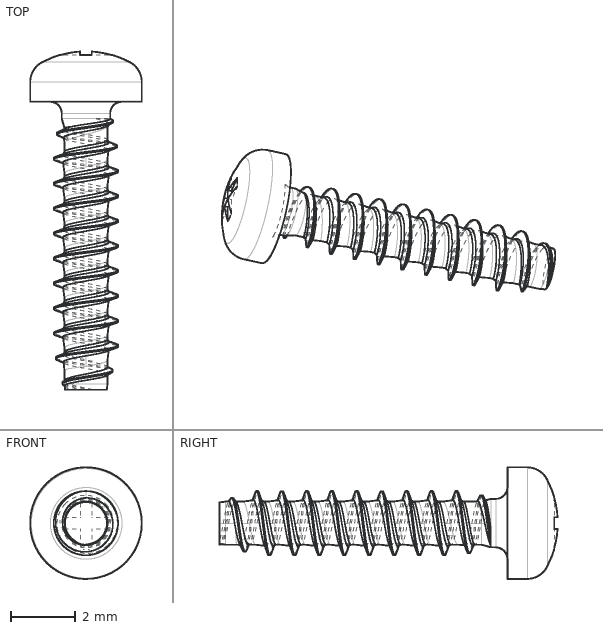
import cadquery as cq
import math

length = 10.57

head_diameter = 3.5
head_radius = head_diameter / 2
head_height = 1.57
rim_height = 0.62
crown_radius = 1.36
crown_height = 0.33
shoulder_radius = 0.68
shoulder_mid_angle = 32.0
underside_round = 0.03

slot_width = 0.36
slot_depth = 0.11

neck_radius = 0.76
neck_fillet = 0.36
neck_length = 0.16
neck_taper = 0.3
core_radius = 0.68
tip_radius = 0.66
tip_taper = 0.19

full_turns = 8
full_thread_length = 6.24
pitch = full_thread_length / full_turns
crest_radius = 1.0
foot_radius = 0.67
flank_base_radius = 0.72
foot_above = 0.23
foot_below = 0.52
half_flank_base = 0.12
half_crest = 0.02
buried_radius = 0.61
first_crest = 0.59
tip_end_crest = 0.65
neck_end_crest = 0.78
points_per_turn = 24

ridge_section = [
    (foot_above, buried_radius),
    (foot_above, foot_radius),
    (half_flank_base, flank_base_radius),
    (half_crest, crest_radius),
    (-half_crest, crest_radius),
    (-half_flank_base, flank_base_radius),
    (-foot_below, foot_radius),
    (-foot_below, buried_radius),
]

ridge_start = -0.9
full_start = 0.75
full_end = full_start + full_turns
ridge_end = 10.5
ridge_stations = [
    (ridge_start, tip_end_crest),
    (full_start, crest_radius),
    (full_end, crest_radius),
    (ridge_end, neck_end_crest),
]

head_base = length - head_height
rim_top = head_base + rim_height
neck_top = head_base - neck_fillet
neck_base = neck_top - neck_length

corner_radius = slot_width / 2 * math.sqrt(2)
crown_center = length - (crown_radius**2 - corner_radius**2 + crown_height**2) / (2 * crown_height)
crown_sphere = math.hypot(corner_radius, length - crown_center)


def make_blank():
    """Head, neck and core as one turned body."""
    crown_edge = length - crown_height
    shoulder_center = head_radius - shoulder_radius
    shoulder_mid = (
        shoulder_center + shoulder_radius * math.cos(math.radians(shoulder_mid_angle)),
        rim_top + shoulder_radius * math.sin(math.radians(shoulder_mid_angle)),
    )
    half_crown = crown_radius / 2
    crown_mid = (half_crown, crown_center + math.sqrt(crown_sphere**2 - half_crown**2))
    fillet_reach = neck_fillet * (1 - math.sqrt(0.5))
    fillet_mid = (neck_radius + fillet_reach, head_base - fillet_reach)
    round_reach = underside_round * (1 - math.sqrt(0.5))

    outline = (
        cq.Workplane("XZ")
        .lineTo(tip_radius, 0)
        .lineTo(core_radius, tip_taper)
        .lineTo(core_radius, neck_base - neck_taper)
        .lineTo(neck_radius, neck_base)
        .lineTo(neck_radius, neck_top)
        .threePointArc(fillet_mid, (neck_radius + neck_fillet, head_base))
        .lineTo(head_radius - underside_round, head_base)
        .threePointArc(
            (head_radius - round_reach, head_base + round_reach),
            (head_radius, head_base + underside_round),
        )
        .lineTo(head_radius, rim_top)
        .threePointArc(shoulder_mid, (crown_radius, crown_edge))
        .threePointArc(crown_mid, (0, crown_center + crown_sphere))
        .close()
    )
    return outline.revolve(360, (0, 0), (0, 1))


def make_recess():
    """Two crossed slots over the crown."""
    span = 2 * head_radius
    slot = cq.Workplane("XY").box(span, slot_width, 2 * slot_depth)
    return slot.union(slot.rotate((0, 0, 0), (0, 0, 1), 90)).translate((0, 0, length))


def ridge_point(turn, crest, offset, radius):
    """Point of the ridge section, its height scaled to the given crest radius."""
    scale = (crest - buried_radius) / (crest_radius - buried_radius)
    reach = buried_radius + scale * (radius - buried_radius)
    angle = 2 * math.pi * turn
    return cq.Vector(reach * math.cos(angle), reach * math.sin(angle), first_crest + pitch * turn + offset)


def ridge_edge(start, end, offset, radius):
    """Helical edge traced by one section point between two stations."""
    steps = math.ceil((end[0] - start[0]) * points_per_turn)
    points = []
    for step in range(steps + 1):
        share = step / steps
        turn = start[0] + share * (end[0] - start[0])
        crest = start[1] + share * (end[1] - start[1])
        points.append(ridge_point(turn, crest, offset, radius))
    return cq.Edge.makeSpline(points)


def make_ridge():
    """Thread ridge that fades out at both ends, trimmed to the shank."""
    faces = []
    for start, end in zip(ridge_stations, ridge_stations[1:]):
        edges = [ridge_edge(start, end, *point) for point in ridge_section]
        for edge, following in zip(edges, edges[1:] + edges[:1]):
            faces.append(cq.Face.makeRuledSurface(edge, following))
    for station in (ridge_stations[0], ridge_stations[-1]):
        corners = [ridge_point(*station, *point) for point in ridge_section]
        faces.append(cq.Face.makeFromWires(cq.Wire.makePolygon(corners, close=True)))
    ridge = cq.Solid.makeSolid(cq.Shell.makeShell(faces))
    threaded_zone = cq.Workplane("XY").circle(head_radius).extrude(neck_base)
    return threaded_zone.intersect(cq.Workplane(ridge))


screw = make_blank().union(make_ridge()).cut(make_recess())
result = screw.rotate((0, 0, 0), (1, 0, 0), -90)